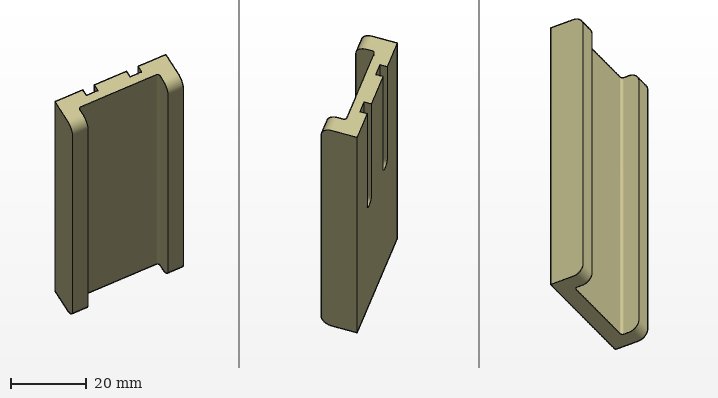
import cadquery as cq

height = 85.0
width = 33.0
depth = 10.0

web_thickness = 4.7
flange_thickness = 4.6
inner_corner_radius = 0.8
flange_end_radius = 3.1

groove_width = 3.4
groove_depth = 2.0
groove_length = 41.8
groove_spacing = 13.0

channel_width = width - 2 * flange_thickness


def make_body():
    """Plate with the free corners of both flanges rounded."""
    block = cq.Workplane("XY").box(depth, width, height, centered=(False, True, False))
    return block.edges(">X and |Y").fillet(flange_end_radius)


def make_channel():
    """Space between the flanges, with rounded corners at the web."""
    space = (
        cq.Workplane("XY")
        .box(depth, channel_width, height, centered=(False, True, False))
        .translate((web_thickness, 0, 0))
    )
    return space.edges("<X and |Z").fillet(inner_corner_radius)


def make_groove(y):
    """Groove centred on y, running from the top to a round lower end."""
    end_center_z = height - groove_length + groove_width / 2
    straight = (
        cq.Workplane("XY")
        .box(groove_depth, groove_width, height - end_center_z, centered=(False, True, False))
        .translate((0, y, end_center_z))
    )
    round_end = (
        cq.Workplane("YZ")
        .center(y, end_center_z)
        .circle(groove_width / 2)
        .extrude(groove_depth)
    )
    return straight.union(round_end)


result = make_body().cut(make_channel())
for side in (-1, 1):
    result = result.cut(make_groove(side * groove_spacing / 2))